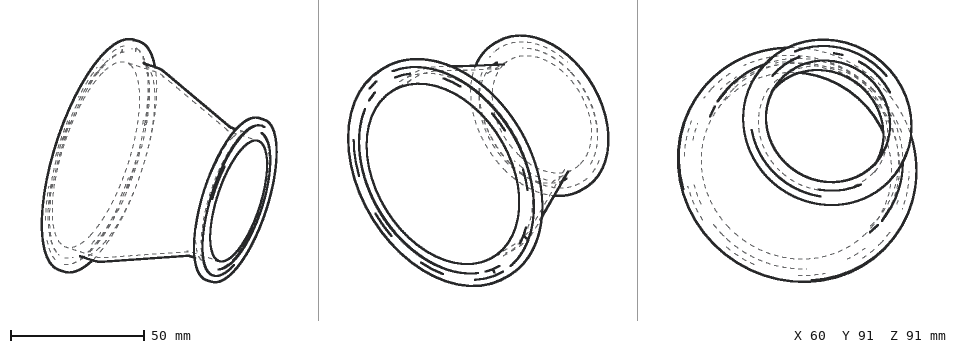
import cadquery as cq
import math

length = 60.0
wall = 1.6
large_flange_radius = 45.5
large_tube_radius = 38.1
small_flange_radius = 32.0
small_tube_radius = 25.4

cone_start = 13.2
cone_end = length - 12.9
cone_blend = 1.55

back_angle = math.radians(20)
back_corner = 2.7
rim_back_fillet = 0.55
rim_face_fillet = 0.3
neck_fillet = 1.8

groove_inset = 3.7
groove_radius = 1.4
groove_lip_fillet = 0.77

match_tolerance = 0.01


def back_foot(flange_radius, tube_radius):
    """Axial distance from the end face to where the flange back meets the tube."""
    return back_corner + (flange_radius - tube_radius) * math.tan(back_angle)


def fillet_circles(body, radius, corners):
    """Round the circular edges passing through the given (x, radius) corners."""
    edges = []
    for edge in body.edges("%CIRCLE").vals():
        center = edge.arcCenter()
        for x, edge_radius in corners:
            if abs(center.x - x) < match_tolerance and abs(edge.radius() - edge_radius) < match_tolerance:
                edges.append(edge)
    return body.newObject(edges).fillet(radius)


large_foot = back_foot(large_flange_radius, large_tube_radius)
small_foot = length - back_foot(small_flange_radius, small_tube_radius)
large_bore = large_tube_radius - wall
small_bore = small_tube_radius - wall
large_groove = large_flange_radius - groove_inset
small_groove = small_flange_radius - groove_inset

section = (
    cq.Workplane("XY")
    .moveTo(0, large_bore)
    .lineTo(0, large_groove - groove_radius)
    .threePointArc((groove_radius, large_groove), (0, large_groove + groove_radius))
    .lineTo(0, large_flange_radius)
    .lineTo(back_corner, large_flange_radius)
    .lineTo(large_foot, large_tube_radius)
    .lineTo(cone_start, large_tube_radius)
    .lineTo(cone_end, small_tube_radius)
    .lineTo(small_foot, small_tube_radius)
    .lineTo(length - back_corner, small_flange_radius)
    .lineTo(length, small_flange_radius)
    .lineTo(length, small_groove + groove_radius)
    .threePointArc((length - groove_radius, small_groove), (length, small_groove - groove_radius))
    .lineTo(length, small_bore)
    .lineTo(cone_end, small_bore)
    .lineTo(cone_start, large_bore)
    .close()
)
body = section.revolve(360, (0, 0, 0), (1, 0, 0))

body = fillet_circles(body, cone_blend, [
    (cone_start, large_tube_radius),
    (cone_end, small_tube_radius),
    (cone_start, large_bore),
    (cone_end, small_bore),
])

body = fillet_circles(body, neck_fillet, [
    (large_foot, large_tube_radius),
    (small_foot, small_tube_radius),
])
body = fillet_circles(body, rim_back_fillet, [
    (back_corner, large_flange_radius),
    (length - back_corner, small_flange_radius),
])
body = fillet_circles(body, rim_face_fillet, [
    (0, large_flange_radius),
    (length, small_flange_radius),
])

body = fillet_circles(body, groove_lip_fillet, [
    (x, groove + side * groove_radius)
    for x, groove in ((0, large_groove), (length, small_groove))
    for side in (-1, 1)
])

result = body